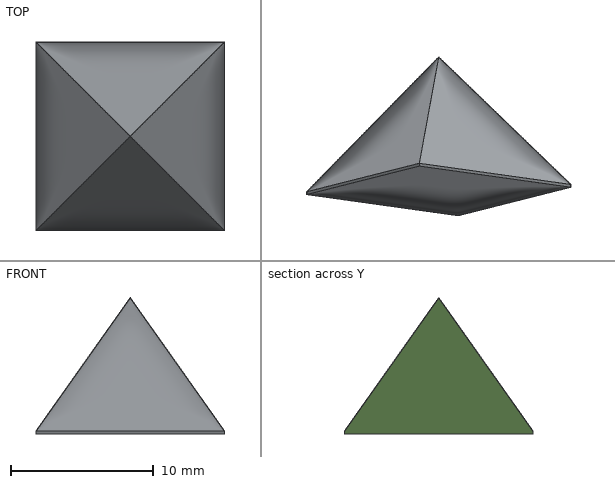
import cadquery as cq

base_side = 13.21
total_height = 9.54
plinth_height = 0.2

half_side = base_side / 2


def gabled_prism(plane):
    """Prism with a gabled profile, centred on the plane and as long as the base."""
    return (
        cq.Workplane(plane)
        .moveTo(-half_side, 0)
        .lineTo(half_side, 0)
        .lineTo(half_side, plinth_height)
        .lineTo(0, total_height)
        .lineTo(-half_side, plinth_height)
        .close()
        .extrude(half_side, both=True)
    )


result = gabled_prism("XZ").intersect(gabled_prism("YZ"))